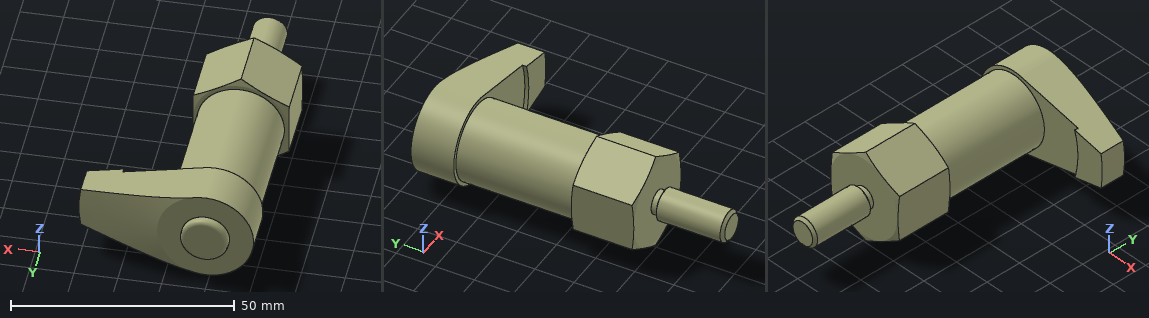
import cadquery as cq
import math

stud_length = 18.95
hex_length = 16.1
sleeve_length = 30.0
hub_length = 11.0
button_length = 1.95

stud_diameter = 8.0
stud_tip_chamfer = 0.8
neck_diameter = 6.0
neck_length = 1.9
neck_cone_length = 0.5

hex_across_flats = 22.0
hex_face_diameter = 21.8
hex_chamfer_angle = 15
sleeve_diameter = 20.0

hub_diameter = hex_across_flats
lever_reach = 29.95
lever_side_angle = 12
lever_top_angle = 15
pad_inner_radius = 22.0
pad_depth = 1.0
button_diameter = 11.0
button_fillet = 1.0

hex_start = stud_length
sleeve_start = hex_start + hex_length
hub_start = sleeve_start + sleeve_length
hub_end = hub_start + hub_length


def cylinder(diameter, start, length):
    """Cylinder about the Y axis, running toward +Y from the given station."""
    return cq.Workplane("XZ", origin=(0, start, 0)).circle(diameter / 2).extrude(-length)


def revolved(points):
    """Solid of revolution about the Y axis from (radius, y) points."""
    return cq.Workplane("XY").polyline(points).close().revolve(360, (0, 0, 0), (0, 1, 0))


def make_stud():
    radius = stud_diameter / 2
    neck_radius = neck_diameter / 2
    shoulder = stud_length - neck_length
    return revolved([
        (0, 0),
        (radius - stud_tip_chamfer, 0),
        (radius, stud_tip_chamfer),
        (radius, shoulder),
        (neck_radius, shoulder + neck_cone_length),
        (neck_radius, stud_length),
        (0, stud_length),
    ])


def make_hexagon():
    """Hexagon with points toward +Z and -Z and conically chamfered corners."""
    corner_radius = hex_across_flats / math.sqrt(3)
    prism = (
        cq.Workplane("XZ", origin=(0, hex_start, 0))
        .transformed(rotate=(0, 0, 90))
        .polygon(6, 2 * corner_radius)
        .extrude(-hex_length)
    )
    face_radius = hex_face_diameter / 2
    outer_radius = 2 * corner_radius - face_radius
    drop = (outer_radius - face_radius) * math.tan(math.radians(hex_chamfer_angle))
    envelope = revolved([
        (0, hex_start),
        (face_radius, hex_start),
        (outer_radius, hex_start + drop),
        (outer_radius, sleeve_start - drop),
        (face_radius, sleeve_start),
        (0, sleeve_start),
    ])
    return prism.intersect(envelope)


def make_lever():
    """Hub with a tapering arm toward +X, a conical top and a raised end pad."""
    hub_radius = hub_diameter / 2
    angle = math.radians(lever_side_angle)
    tangent_x = hub_radius * math.sin(angle)
    tangent_z = hub_radius * math.cos(angle)
    along_side = math.sqrt(lever_reach**2 - hub_radius**2)
    end_x = tangent_x + along_side * math.cos(angle)
    end_z = tangent_z - along_side * math.sin(angle)
    pad_start = hub_start - pad_depth
    outline = (
        cq.Workplane("XZ", origin=(0, pad_start, 0))
        .moveTo(tangent_x, tangent_z)
        .lineTo(end_x, end_z)
        .threePointArc((lever_reach, 0), (end_x, -end_z))
        .lineTo(tangent_x, -tangent_z)
        .threePointArc((-hub_radius, 0), (tangent_x, tangent_z))
        .close()
        .extrude(-(pad_depth + hub_length))
    )
    clearance = 0.8
    envelope_radius = lever_reach + clearance
    drop = (envelope_radius - hub_radius) * math.tan(math.radians(lever_top_angle))
    envelope = revolved([
        (0, hub_start),
        (pad_inner_radius, hub_start),
        (pad_inner_radius, pad_start),
        (envelope_radius, pad_start),
        (envelope_radius, hub_end - drop),
        (hub_radius, hub_end),
        (0, hub_end),
    ])
    return outline.intersect(envelope)


def make_button():
    button = cylinder(button_diameter, hub_end, button_length)
    return button.faces(">Y").edges().fillet(button_fillet)


sleeve = cylinder(sleeve_diameter, sleeve_start, sleeve_length)
result = make_stud().union(make_hexagon()).union(sleeve).union(make_lever()).union(make_button())